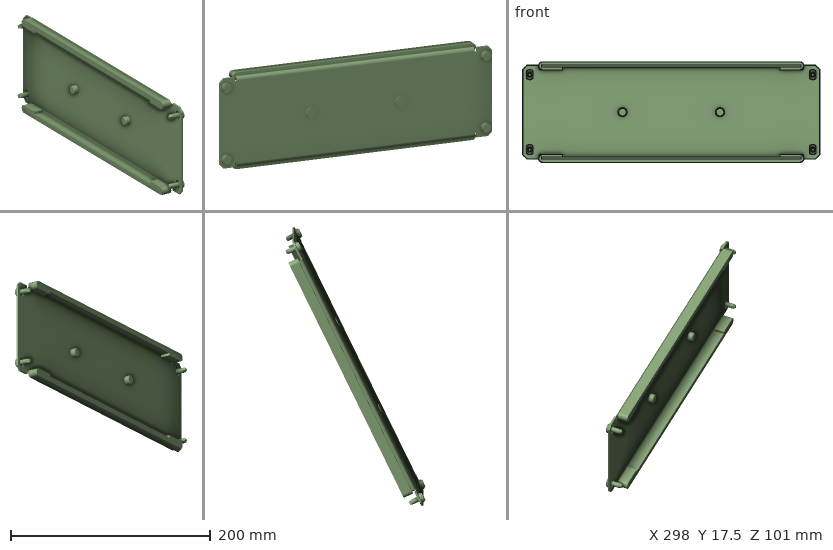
import cadquery as cq
import math


PLATE_LENGTH = 298.0
PLATE_HEIGHT = 94.2
SHEET = 2.0
CORNER_CHAMFER = 4.5

RAIL_LENGTH = 265.8
RAIL_HEIGHT = 8.0
RAIL_DEPTH = 10.0
RAIL_BACK_GAP = 1.8
RAIL_TAB_LENGTH = 24.0
ASSEMBLY_HEIGHT = 101.0

RAIL_END_WALL = 3.0
FLANGE_LENGTH = RAIL_LENGTH - 2 * RAIL_END_WALL
FLANGE_REACH = RAIL_BACK_GAP + RAIL_DEPTH
BEND_INNER_RADIUS = 1.8
BEND_OUTER_RADIUS = BEND_INNER_RADIUS + SHEET
RELIEF_WIDTH = 2.5
RELIEF_DEPTH = 4.8

SCREW_X = 141.8
SCREW_Z = 37.5
SLOT_WIDTH = 6.5
SLOT_HEIGHT = 10.0
SCREW_DIAMETER = 5.0
SCREW_REACH = 10.0
TIP_LENGTH = 3.5
TIP_END_SIDE = 2.7
TIP_TURN = 20
HEAD_DIAMETER = 10.0
HEAD_HEIGHT = 2.5
CAP_DIAMETER = 8.3
CAP_HEIGHT = 1.2

STUD_X = 49.0
STUD_DIAMETER = 9.0
STUD_REACH = 5.5
STUD_TIP_CHAMFER = 0.5
STUD_HEAD_DIAMETER = 11.3
STUD_HEAD_THICKNESS = 1.0

SIDES = (-1, 1)
VERTICAL = 90
FLANGE_OUTER_Z = PLATE_HEIGHT / 2
FLANGE_INNER_Z = FLANGE_OUTER_Z - SHEET
RAIL_OUTER_Z = ASSEMBLY_HEIGHT / 2
RAIL_CENTER_Z = RAIL_OUTER_Z - RAIL_HEIGHT / 2
SCREW_PLACES = [(x * SCREW_X, z * SCREW_Z) for x in SIDES for z in SIDES]
STUD_PLACES = [(x * STUD_X, 0) for x in SIDES]


def sketch_plane(y):
    """XZ plane at the given Y, extruding towards -Y."""
    return cq.Workplane("XZ", origin=(0, y, 0))


def mirrored_below(upper):
    return upper.mirror("XY")


def make_flange():
    """Upper flange: a bent sheet edge with concentric inner and outer bend arcs."""
    bend_z = FLANGE_OUTER_Z - BEND_OUTER_RADIUS
    bend_y = SHEET - BEND_OUTER_RADIUS
    diagonal = math.sqrt(0.5)
    outer_mid = BEND_OUTER_RADIUS * diagonal
    inner_mid = BEND_INNER_RADIUS * diagonal
    return (
        cq.Workplane("YZ", origin=(-FLANGE_LENGTH / 2, 0, 0))
        .moveTo(SHEET, bend_z)
        .threePointArc((bend_y + outer_mid, bend_z + outer_mid), (bend_y, FLANGE_OUTER_Z))
        .lineTo(-FLANGE_REACH, FLANGE_OUTER_Z)
        .lineTo(-FLANGE_REACH, FLANGE_INNER_Z)
        .lineTo(bend_y, FLANGE_INNER_Z)
        .threePointArc((bend_y + inner_mid, bend_z + inner_mid), (0, bend_z))
        .close()
        .extrude(FLANGE_LENGTH)
    )


def make_edge_cut():
    """Strip removed above the upper bend, with a round-bottomed relief slot at each end."""
    strip = (
        sketch_plane(SHEET)
        .center(0, FLANGE_OUTER_Z - BEND_OUTER_RADIUS / 2)
        .rect(FLANGE_LENGTH, BEND_OUTER_RADIUS)
        .extrude(SHEET)
    )
    relief_x = (FLANGE_LENGTH + RELIEF_WIDTH) / 2
    reliefs = (
        sketch_plane(SHEET)
        .pushPoints([(side * relief_x, FLANGE_OUTER_Z) for side in SIDES])
        .slot2D(2 * RELIEF_DEPTH, RELIEF_WIDTH, VERTICAL)
        .extrude(SHEET)
    )
    return strip.union(reliefs)


def make_plate():
    blank = (
        sketch_plane(SHEET)
        .rect(PLATE_LENGTH, PLATE_HEIGHT)
        .extrude(SHEET)
        .edges("|Y")
        .chamfer(CORNER_CHAMFER)
    )
    screw_slots = (
        sketch_plane(SHEET)
        .pushPoints(SCREW_PLACES)
        .slot2D(SLOT_HEIGHT, SLOT_WIDTH, VERTICAL)
        .extrude(SHEET)
    )
    stud_holes = sketch_plane(SHEET).pushPoints(STUD_PLACES).circle(STUD_DIAMETER / 2).extrude(SHEET)
    edge_cut = make_edge_cut()
    flange = make_flange()
    return (
        blank.cut(screw_slots)
        .cut(stud_holes)
        .cut(edge_cut)
        .cut(mirrored_below(edge_cut))
        .union(flange)
        .union(mirrored_below(flange))
    )


def make_rail():
    """Upper rail: round-ended bar, slotted for the flange, with inner walls only at its ends."""
    bar = (
        sketch_plane(-RAIL_BACK_GAP)
        .center(0, RAIL_CENTER_Z)
        .slot2D(RAIL_LENGTH, RAIL_HEIGHT)
        .extrude(RAIL_DEPTH)
    )
    flange_slot = (
        sketch_plane(-RAIL_BACK_GAP)
        .center(0, FLANGE_OUTER_Z - SHEET / 2)
        .rect(FLANGE_LENGTH, SHEET)
        .extrude(RAIL_DEPTH)
    )
    inner_gap = (
        sketch_plane(-RAIL_BACK_GAP)
        .center(0, FLANGE_INNER_Z - RAIL_HEIGHT / 2)
        .rect(RAIL_LENGTH - 2 * RAIL_TAB_LENGTH, RAIL_HEIGHT)
        .extrude(RAIL_DEPTH)
    )
    return bar.cut(flange_slot).cut(inner_gap)


def make_screw(x, z):
    """Screw with a stepped head and a tapered four-flat tip, turned opposite ways on the two sides."""
    shank = sketch_plane(SHEET).circle(SCREW_DIAMETER / 2).extrude(SHEET + SCREW_REACH - TIP_LENGTH)
    tip_start = sketch_plane(TIP_LENGTH - SCREW_REACH)
    tip_turn = math.copysign(TIP_TURN, x)
    taper = (
        tip_start.rect(SCREW_DIAMETER, SCREW_DIAMETER)
        .workplane(offset=TIP_LENGTH)
        .rect(TIP_END_SIDE, TIP_END_SIDE)
        .loft()
        .rotate((0, 0, 0), (0, 1, 0), tip_turn)
    )
    tip = tip_start.circle(SCREW_DIAMETER / 2).extrude(TIP_LENGTH).intersect(taper)
    head = sketch_plane(SHEET).circle(HEAD_DIAMETER / 2).extrude(-HEAD_HEIGHT)
    cap = sketch_plane(SHEET + HEAD_HEIGHT).circle(CAP_DIAMETER / 2).extrude(-CAP_HEIGHT)
    return shank.union(tip).union(head).union(cap).translate((x, 0, z))


def make_stud(x, z):
    shank = (
        sketch_plane(SHEET)
        .center(x, z)
        .circle(STUD_DIAMETER / 2)
        .extrude(SHEET + STUD_REACH)
        .faces("<Y")
        .chamfer(STUD_TIP_CHAMFER)
    )
    head = sketch_plane(SHEET).center(x, z).circle(STUD_HEAD_DIAMETER / 2).extrude(-STUD_HEAD_THICKNESS)
    return shank.union(head)


plate = make_plate()
upper_rail = make_rail()
rails = [upper_rail, mirrored_below(upper_rail)]
screws = [make_screw(x, z) for x, z in SCREW_PLACES]
studs = [make_stud(x, z) for x, z in STUD_PLACES]

bodies = [plate, *rails, *screws, *studs]
result = cq.Compound.makeCompound([body.val() for body in bodies])